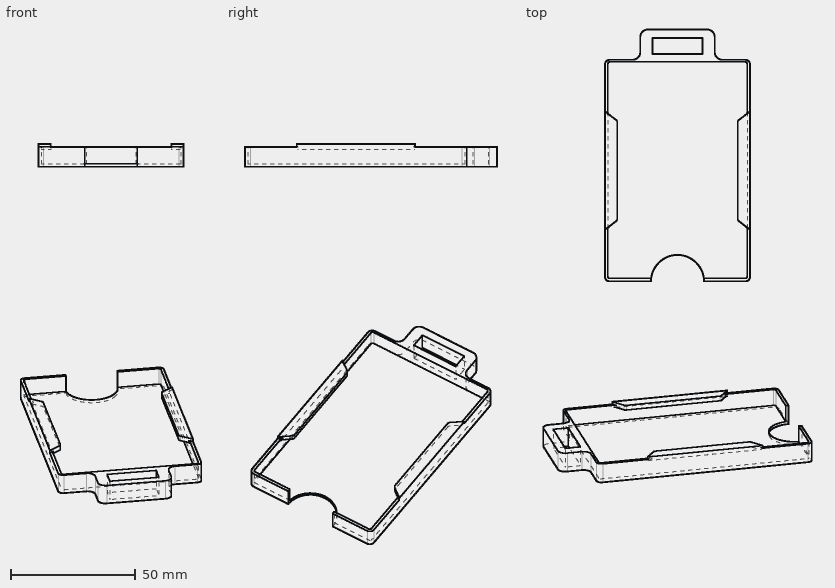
import cadquery as cq


total_length = 101.6
total_height = 9.2

body_width = 58.6
body_length = 89.4
body_height = 8.1
body_corner_radius = 2.0
floor_thickness = 1.2

side_wall = 1.2
front_wall = 1.2
back_wall = 0.9
pocket_corner_radius = body_corner_radius - side_wall

tab_width = 30.1
tab_radius = 3.0
slot_width = 20.1
slot_length = 6.3
slot_end_wall = 3.6

lip_thickness = 2.0
lip_bottom = total_height - lip_thickness
lip_reach = 5.1
lip_length = 47.9
lip_taper = 4.0
lip_corner_radius = 1.0

notch_radius = 10.7


def make_body():
    return (
        cq.Workplane("XY")
        .rect(body_width, body_length)
        .extrude(body_height)
        .edges("|Z")
        .fillet(body_corner_radius)
        .translate((0, body_length / 2, 0))
    )


def make_tab():
    """Rounded strap tab that flares into the back edge of the body."""
    half_width = tab_width / 2
    flare_end = half_width + tab_radius
    root = body_length - back_wall
    return (
        cq.Workplane("XY")
        .moveTo(-flare_end, root)
        .lineTo(flare_end, root)
        .lineTo(flare_end, body_length)
        .radiusArc((half_width, body_length + tab_radius), tab_radius)
        .lineTo(half_width, total_length - tab_radius)
        .radiusArc((half_width - tab_radius, total_length), -tab_radius)
        .lineTo(tab_radius - half_width, total_length)
        .radiusArc((-half_width, total_length - tab_radius), -tab_radius)
        .lineTo(-half_width, body_length + tab_radius)
        .radiusArc((-flare_end, body_length), tab_radius)
        .close()
        .extrude(body_height)
    )


def make_slot():
    slot_centre = total_length - slot_end_wall - slot_length / 2
    return cq.Workplane("XY").center(0, slot_centre).rect(slot_width, slot_length).extrude(body_height)


def make_pocket():
    pocket_width = body_width - 2 * side_wall
    pocket_length = body_length - front_wall - back_wall
    return (
        cq.Workplane("XY")
        .rect(pocket_width, pocket_length)
        .extrude(body_height - floor_thickness)
        .edges("|Z")
        .fillet(pocket_corner_radius)
        .translate((0, front_wall + pocket_length / 2, floor_thickness))
    )


def make_lip(side):
    """Tapered lip over the pocket; side is -1 or +1 along X."""
    outer_x = side * body_width / 2
    inner_x = side * (body_width / 2 - lip_reach)
    start = (body_length - lip_length) / 2
    end = start + lip_length
    outline = [
        (outer_x, start),
        (outer_x, end),
        (inner_x, end - lip_taper),
        (inner_x, start + lip_taper),
    ]
    return (
        cq.Workplane("XY", origin=(0, 0, lip_bottom))
        .polyline(outline)
        .close()
        .extrude(lip_thickness)
        .faces("<X" if side > 0 else ">X")
        .edges("|Z")
        .fillet(lip_corner_radius)
    )


def make_finger_notch():
    return cq.Workplane("XY").circle(notch_radius).extrude(body_height)


def blend_lip_roots(part):
    """Round the vertical inside corners where the lip ends leave the side walls."""
    wall_x = body_width / 2 - side_wall
    root_offset = lip_length / 2 - lip_taper * side_wall / lip_reach
    root_z = (lip_bottom + body_height) / 2
    for x in (-wall_x, wall_x):
        for offset in (-root_offset, root_offset):
            root = (x, body_length / 2 + offset, root_z)
            part = part.edges(cq.selectors.NearestToPointSelector(root)).fillet(lip_corner_radius)
    return part


result = make_body().union(make_tab()).cut(make_slot()).cut(make_pocket()).cut(make_finger_notch())
for side in (-1, 1):
    result = result.union(make_lip(side))
result = blend_lip_roots(result)